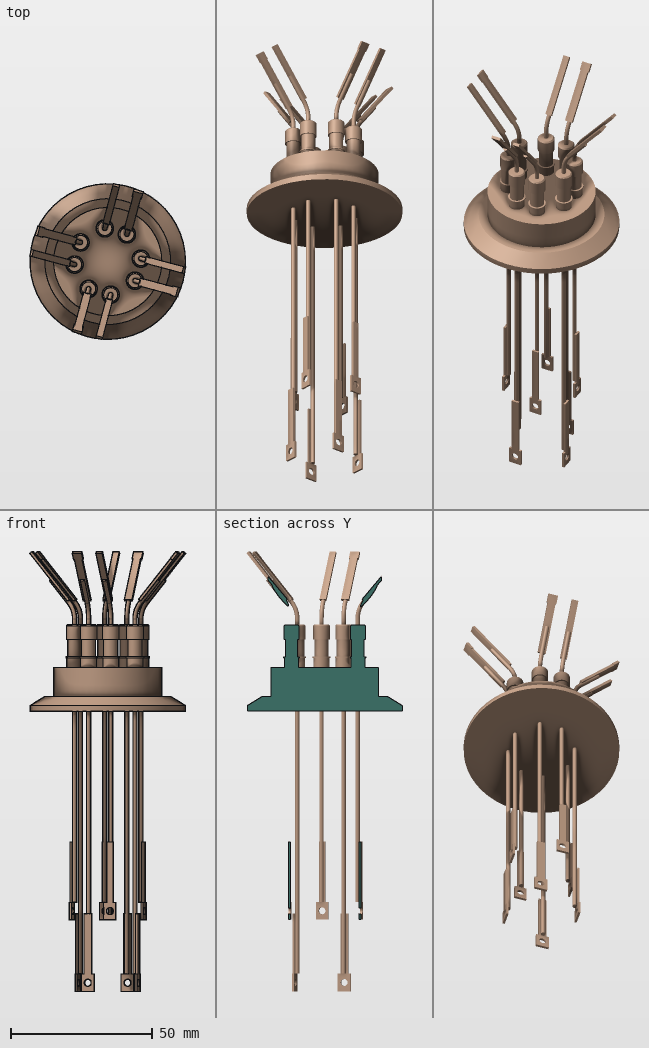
import cadquery as cq
import math

flange_radius = 27.5
flange_flat_radius = 22.2
flange_edge_height = 2.0
flange_height = 5.3
boss_radius = 19.1
boss_top = 15.5

collar_radius = 2.8
collar_top = 18.8
ring_radius = 3.1
ring_thickness = 0.5
sleeve_radius = 2.5
cap_radius = 3.0
cap_bottom = 25.3
cap_top = 30.6
cap_chamfer = 0.5

pair_count = 4
pair_start_angle = -15.0
lead_radial_offset = 11.0
lead_side_offset = 4.0

wire_radius = 0.8
bend_angle = 39.1
bend_start = 32.7
bend_radius = 9.3
wire_past_bend_length = 10.3

tab_thickness = 1.01
narrow_blade_width = 2.3
wide_blade_width = 2.8
tab_gap = 0.5
tab_length = 21.8
tab_tip_width = 3.4
tab_tip_length = 3.1

lug_thickness = 0.8
lug_offset = 0.6
lug_blade_length = 21.3
narrow_pad_width = 4.4
wide_pad_width = 4.7
pad_height = 6.2
pad_hole_diameter = 2.5
narrow_lug_bottom = -73.7
wide_lug_bottom = -99.0


def make_flange():
    profile = [
        (0, 0),
        (flange_radius, 0),
        (flange_radius, flange_edge_height),
        (flange_flat_radius, flange_height),
        (boss_radius, flange_height),
        (boss_radius, boss_top),
        (0, boss_top),
    ]
    return cq.Workplane("XZ").polyline(profile).close().revolve(360, (0, 0), (0, 1))


def cylinder(radius, bottom, top):
    return cq.Workplane("XY").workplane(offset=bottom).circle(radius).extrude(top - bottom)


def make_insulator():
    collar = cylinder(collar_radius, boss_top, collar_top)
    ring = cylinder(ring_radius, collar_top, collar_top + ring_thickness)
    sleeve = cylinder(sleeve_radius, boss_top, cap_top)
    cap = cylinder(cap_radius, cap_bottom, cap_top).faces(">Z").edges().chamfer(cap_chamfer)
    return sleeve.union(collar).union(ring).union(cap)


bend = math.radians(bend_angle)
bend_end_x = bend_radius * (1 - math.cos(bend))
bend_end_z = bend_start + bend_radius * math.sin(bend)


def make_wire(wire_bottom):
    bend_middle = (
        bend_radius * (1 - math.cos(bend / 2)),
        bend_start + bend_radius * math.sin(bend / 2),
    )
    wire_end = (
        bend_end_x + wire_past_bend_length * math.sin(bend),
        bend_end_z + wire_past_bend_length * math.cos(bend),
    )
    path = (
        cq.Workplane("XZ")
        .moveTo(0, wire_bottom)
        .lineTo(0, bend_start)
        .threePointArc(bend_middle, (bend_end_x, bend_end_z))
        .lineTo(*wire_end)
    )
    return cq.Workplane("XY").workplane(offset=wire_bottom).circle(wire_radius).sweep(path)


def make_tab(width, tip_width):
    """Tilted blade whose outer face runs along the wire axis."""
    blade = cq.Workplane("XY").box(
        tab_thickness, width, tab_length, centered=(False, True, False)
    )
    tip = (
        cq.Workplane("XY")
        .workplane(offset=tab_length - tab_tip_length)
        .rect(tab_thickness, tip_width)
        .extrude(tab_tip_length)
        .translate((tab_thickness / 2, 0, 0))
    )
    return (
        blade.union(tip)
        .translate((-tab_thickness, 0, tab_gap))
        .rotate((0, 0, 0), (0, 1, 0), bend_angle)
        .translate((bend_end_x, 0, bend_end_z))
    )


def make_lug(bottom, blade_width, pad_width):
    """Upright blade with a drilled pad, on the outer side of the wire."""
    pad = cq.Workplane("XY").box(
        lug_thickness, pad_width, pad_height, centered=(False, True, False)
    )
    blade = cq.Workplane("XY").box(
        lug_thickness, blade_width, pad_height + lug_blade_length, centered=(False, True, False)
    )
    hole = (
        cq.Workplane("YZ")
        .center(0, pad_height / 2)
        .circle(pad_hole_diameter / 2)
        .extrude(lug_thickness)
    )
    return pad.union(blade).cut(hole).translate((lug_offset, 0, bottom))


def make_lead(lug_bottom, blade_width, tip_width, pad_width):
    return (
        make_wire(lug_bottom + pad_height)
        .union(make_tab(blade_width, tip_width))
        .union(make_lug(lug_bottom, blade_width, pad_width))
        .union(make_insulator())
    )


narrow_lead = make_lead(
    narrow_lug_bottom, narrow_blade_width, narrow_blade_width, narrow_pad_width
)
wide_lead = make_lead(wide_lug_bottom, wide_blade_width, tab_tip_width, wide_pad_width)

result = make_flange()
for index in range(pair_count):
    angle = pair_start_angle + index * 360 / pair_count
    for lead, side in ((narrow_lead, 1), (wide_lead, -1)):
        placed = lead.translate((lead_radial_offset, side * lead_side_offset, 0))
        result = result.union(placed.rotate((0, 0, 0), (0, 0, 1), angle))